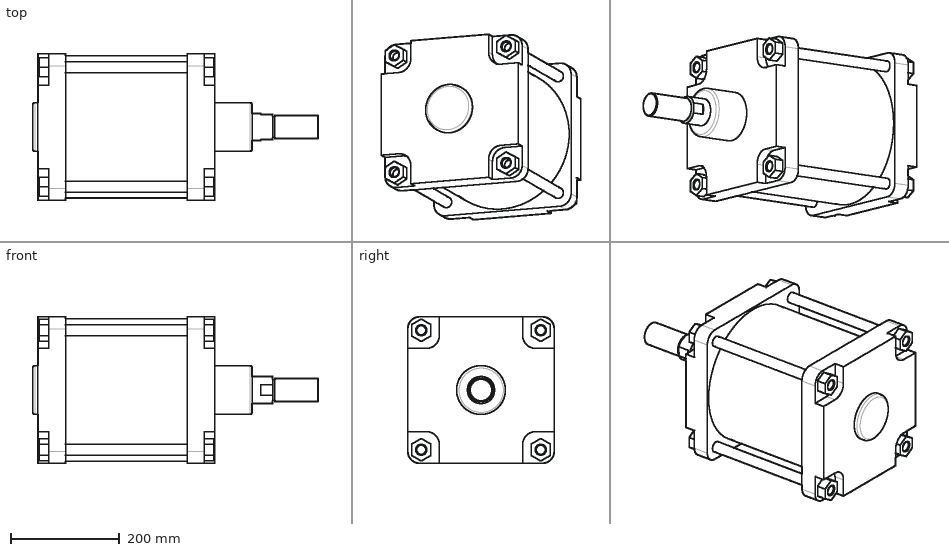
import cadquery as cq

total_length = 526.0
rear_collar_length = 10.0
cap_length = 51.0
barrel_length = 223.5
front_collar_length = 68.5
rear_face = rear_collar_length
barrel_start = rear_face + cap_length
barrel_end = barrel_start + barrel_length
front_face = barrel_end + cap_length
collar_end = front_face + front_collar_length

cap_width = 270.0
cap_corner_radius = 22.0
pocket_width = 58.5
pocket_depth = 20.0
pocket_radius = 24.0
collar_diameter = 90.0
collar_fillet = 4.0

barrel_diameter = 262.5

tie_rod_offset = 110.0
tie_rod_diameter = 20.0
nut_across_flats = 36.0
nut_height = 18.0
nut_hole_diameter = 17.0
nut_hole_depth = 16.0
nut_hole_chamfer = 1.5

rod_diameter = 50.0
rod_flat_start = 420.5
rod_shoulder = 442.0
rod_across_flats = 46.5
neck_diameter = 38.0
neck_length = 4.0
neck_root_fillet = 1.5
thread_diameter = 43.0
thread_chamfer = 1.5


def plane_at(x):
    """Plane facing +X at station x, with local x along Y and local y along Z."""
    return cq.Workplane("YZ", origin=(x, 0, 0))


def corner_points(offset):
    """The four places at this distance from the axis in both Y and Z."""
    return [(y, z) for y in (-offset, offset) for z in (-offset, offset)]


def make_cap(inner_face, direction, collar_length):
    """Square cap growing from its inner face towards direction (+1 or -1 along X)."""
    cap = plane_at(inner_face).rect(cap_width, cap_width).extrude(direction * cap_length)
    cap = cap.edges("|X").fillet(cap_corner_radius)
    outer_face = inner_face + direction * cap_length

    cutters = (
        plane_at(outer_face)
        .pushPoints(corner_points(cap_width / 2))
        .rect(2 * pocket_width, 2 * pocket_width)
        .extrude(-direction * pocket_depth)
        .edges("|X")
        .fillet(pocket_radius)
    )
    cap = cap.cut(cutters)

    holes = (
        plane_at(inner_face)
        .pushPoints(corner_points(tie_rod_offset))
        .circle(tie_rod_diameter / 2)
        .extrude(direction * cap_length)
    )
    cap = cap.cut(holes)

    collar = plane_at(outer_face).circle(collar_diameter / 2).extrude(direction * collar_length)
    rim = ">X" if direction > 0 else "<X"
    return cap.union(collar.faces(rim).fillet(collar_fillet))


def make_barrel():
    return plane_at(barrel_start).circle(barrel_diameter / 2).extrude(barrel_length)


def make_nut(seat, direction):
    """Hexagonal nut on its seat, corners towards +Z and -Z, with a blind hole in the outer end."""
    nut = (
        plane_at(seat)
        .polygon(6, nut_across_flats, circumscribed=True)
        .extrude(direction * nut_height)
    )
    outer_end = seat + direction * nut_height
    hole = plane_at(outer_end).circle(nut_hole_diameter / 2).extrude(-direction * nut_hole_depth)
    countersink = (
        plane_at(outer_end)
        .circle(nut_hole_diameter / 2 + nut_hole_chamfer)
        .workplane(offset=-direction * nut_hole_chamfer)
        .circle(nut_hole_diameter / 2)
        .loft()
    )
    return nut.cut(hole).cut(countersink)


def make_tie_rod(y, z):
    """Tie rod through both caps, in one piece with the nut at each end."""
    rear_seat = rear_face + pocket_depth
    front_seat = front_face - pocket_depth
    shank = plane_at(rear_seat).circle(tie_rod_diameter / 2).extrude(front_seat - rear_seat)
    tie_rod = shank.union(make_nut(rear_seat, -1)).union(make_nut(front_seat, 1))
    return tie_rod.translate((0, y, z))


def make_piston_rod():
    shank = plane_at(collar_end).circle(rod_diameter / 2).extrude(rod_shoulder - collar_end)

    flat_length = rod_shoulder - rod_flat_start
    wrench_section = plane_at(rod_flat_start).rect(rod_diameter, rod_diameter).extrude(flat_length)
    kept = plane_at(rod_flat_start).rect(rod_across_flats, rod_diameter).extrude(flat_length)
    shank = shank.cut(wrench_section.cut(kept))

    neck = plane_at(rod_shoulder).circle(neck_diameter / 2).extrude(neck_length)
    shank = shank.union(neck)
    shank = shank.edges(cq.selectors.RadiusNthSelector(0)).edges("<X").fillet(neck_root_fillet)

    thread_start = rod_shoulder + neck_length
    thread = plane_at(thread_start).circle(thread_diameter / 2).extrude(total_length - thread_start)
    thread = thread.faces(">X").chamfer(thread_chamfer)
    return shank.union(thread)


rear_cap = make_cap(barrel_start, -1, rear_collar_length)
front_cap = make_cap(barrel_end, 1, front_collar_length)
barrel = make_barrel()
piston_rod = make_piston_rod()
tie_rods = [make_tie_rod(y, z) for y, z in corner_points(tie_rod_offset)]

bodies = [rear_cap, front_cap, barrel, piston_rod, *tie_rods]
result = cq.Compound.makeCompound([body.solids().val() for body in bodies])